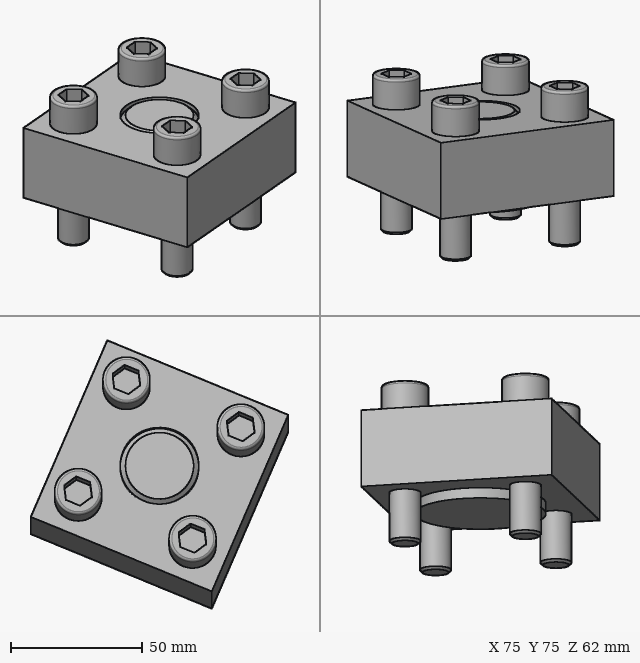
import cadquery as cq
import math

BLOCK_SIDE = 75.0
BLOCK_HEIGHT = 30.0

SPIGOT_DIAMETER = 50.0
SPIGOT_HEIGHT = 4.0

GROOVE_DIAMETER = 30.0
GROOVE_WIDTH = 2.0
GROOVE_DEPTH = 2.0

BOLT_CIRCLE_DIAMETER = 67.0
SCREW_DIAMETER = 12.0
SCREW_PROJECTION = 20.0
SCREW_TIP_CHAMFER = 1.0
HEAD_DIAMETER = 18.0
HEAD_HEIGHT = 12.0
HEAD_EDGE_RADIUS = 1.0
SOCKET_ACROSS_FLATS = 10.0
SOCKET_DEPTH = 6.0
SOCKET_ROTATION = 30.0

HEAD_TOP = BLOCK_HEIGHT + HEAD_HEIGHT


def make_block():
    block = cq.Workplane("XY").rect(BLOCK_SIDE, BLOCK_SIDE).extrude(BLOCK_HEIGHT)
    spigot = cq.Workplane("XY").circle(SPIGOT_DIAMETER / 2).extrude(-SPIGOT_HEIGHT)
    return block.union(spigot)


def make_groove():
    """Triangular section revolved about Z; the inner wall flares outward with depth."""
    outer_radius = GROOVE_DIAMETER / 2
    return (
        cq.Workplane("XZ")
        .moveTo(outer_radius - GROOVE_WIDTH, BLOCK_HEIGHT)
        .lineTo(outer_radius, BLOCK_HEIGHT)
        .lineTo(outer_radius, BLOCK_HEIGHT - GROOVE_DEPTH)
        .close()
        .revolve(360, (0, 0, 0), (0, 1, 0))
    )


def make_screw():
    """Cap screw on the Z axis, with its head seated on the top of the block."""
    shank = (
        cq.Workplane("XY")
        .workplane(offset=-SCREW_PROJECTION)
        .circle(SCREW_DIAMETER / 2)
        .extrude(SCREW_PROJECTION + BLOCK_HEIGHT)
        .faces("<Z")
        .chamfer(SCREW_TIP_CHAMFER)
    )
    head = (
        cq.Workplane("XY")
        .workplane(offset=BLOCK_HEIGHT)
        .circle(HEAD_DIAMETER / 2)
        .extrude(HEAD_HEIGHT)
        .faces(">Z")
        .edges()
        .fillet(HEAD_EDGE_RADIUS)
    )
    across_corners = SOCKET_ACROSS_FLATS / math.cos(math.pi / 6)
    socket = (
        cq.Workplane("XY")
        .workplane(offset=HEAD_TOP)
        .transformed(rotate=(0, 0, SOCKET_ROTATION))
        .polygon(6, across_corners)
        .extrude(-SOCKET_DEPTH)
    )
    return shank.union(head).cut(socket)


def add_screws(body):
    offset = BOLT_CIRCLE_DIAMETER / 2 * math.cos(math.pi / 4)
    screw = make_screw()
    for x in (-offset, offset):
        for y in (-offset, offset):
            body = body.union(screw.translate((x, y, 0)))
    return body


result = add_screws(make_block().cut(make_groove()))